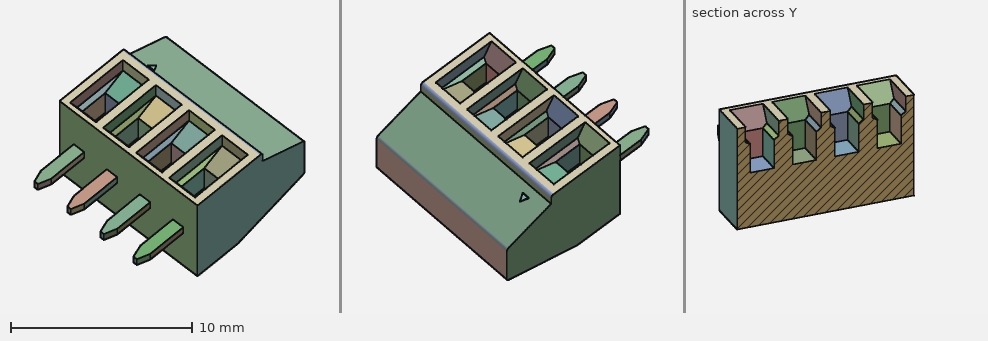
import cadquery as cq
import math

pole_count = 4
pitch = 2.54
body_width = 10.61
body_depth = 8.5
body_height = 6.27
back_round = 0.2

rim_depth = 5.18
rim_step = 0.71
roof_angle = 20.0

base_depth = 3.2
underside_angle = 15.7

mouth_width = 1.98
mouth_depth = 4.19
mouth_front_y = 0.32
shoulder_drop = 0.93
throat_drop = 1.13
throat_width = 1.4
throat_front_y = 1.0
throat_back_y = 2.8

pin_length = 3.4
pin_width = 0.8
pin_thickness = 0.52
pin_tip_width = 0.27
pin_taper_length = 0.8
pin_z = body_height / 2

mark_width = 0.5
mark_length = 0.45
mark_front_y = 5.7
mark_engraving = 0.05

pole_positions = [(i - (pole_count - 1) / 2) * pitch for i in range(pole_count)]
roof_slope = math.tan(math.radians(roof_angle))
roof_foot_z = body_height - rim_step


def roof_z(y):
    """Height of the sloped roof at a given Y."""
    return roof_foot_z - (y - rim_depth) * roof_slope


def make_body():
    """Side profile extruded along X, with its back corners rounded."""
    back_bottom_z = (body_depth - base_depth) * math.tan(math.radians(underside_angle))
    back_top_z = roof_z(body_depth)
    profile = [
        (0, 0),
        (base_depth, 0),
        (body_depth, back_bottom_z),
        (body_depth, back_top_z),
        (rim_depth, roof_foot_z),
        (rim_depth, body_height),
        (0, body_height),
    ]
    rounded_corners = [
        (body_depth, back_bottom_z),
        (body_depth, back_top_z),
        (rim_depth, body_height),
    ]
    body = cq.Workplane("YZ").polyline(profile).close().extrude(body_width / 2, both=True)
    for y, z in rounded_corners:
        corner_edge = cq.selectors.NearestToPointSelector((0, y, z))
        body = body.edges(corner_edge).fillet(back_round)
    return body


def y_z_prism(points, width):
    """Prism of a YZ outline, centred on X = 0."""
    return cq.Workplane("YZ").polyline(points).close().extrude(width / 2, both=True)


def make_funnel():
    """Wire funnel at X = 0: upright mouth, tapered floor and a throat down to the pin."""
    shoulder_z = body_height - shoulder_drop
    throat_z = body_height - throat_drop
    throat_bottom_z = pin_z + pin_thickness / 2
    mouth_back_y = mouth_front_y + mouth_depth
    front_slope = (throat_front_y - mouth_front_y) / throat_drop
    shoulder_front_y = mouth_front_y + shoulder_drop * front_slope

    mouth = y_z_prism(
        [
            (mouth_front_y, body_height),
            (mouth_back_y, body_height),
            (mouth_back_y, shoulder_z),
            (shoulder_front_y, shoulder_z),
        ],
        mouth_width,
    )
    upper_depth = mouth_back_y - shoulder_front_y
    throat_depth = throat_back_y - throat_front_y
    upper_centre_y = (mouth_back_y + shoulder_front_y) / 2
    throat_centre_y = (throat_back_y + throat_front_y) / 2
    taper = (
        cq.Workplane("XY", origin=(0, 0, shoulder_z))
        .center(0, upper_centre_y)
        .rect(mouth_width, upper_depth)
        .workplane(offset=throat_z - shoulder_z)
        .center(0, throat_centre_y - upper_centre_y)
        .rect(throat_width, throat_depth)
        .loft(ruled=True)
    )
    throat = y_z_prism(
        [
            (throat_front_y, throat_z),
            (throat_back_y, throat_z),
            (throat_back_y, throat_bottom_z),
            (throat_front_y, throat_bottom_z),
        ],
        throat_width,
    )
    return mouth.union(taper).union(throat)


def make_pin():
    """Flat pin at X = 0, pointing to -Y, with a tapered tip."""
    half_width = pin_width / 2
    half_tip = pin_tip_width / 2
    taper_y = pin_taper_length - pin_length
    outline = [
        (-half_width, 0),
        (-half_width, taper_y),
        (-half_tip, -pin_length),
        (half_tip, -pin_length),
        (half_width, taper_y),
        (half_width, 0),
    ]
    bottom = cq.Workplane("XY", origin=(0, 0, pin_z - pin_thickness / 2))
    return bottom.polyline(outline).close().extrude(pin_thickness)


def make_mark():
    """Triangle above pole 1; its floor lies parallel to the roof."""
    tip_y = mark_front_y + mark_length
    triangle = [
        (-mark_width / 2, mark_front_y),
        (mark_width / 2, mark_front_y),
        (0, tip_y),
    ]
    column = cq.Workplane("XY").polyline(triangle).close().extrude(body_height)
    layer = y_z_prism(
        [
            (mark_front_y, roof_z(mark_front_y) - mark_engraving),
            (tip_y, roof_z(tip_y) - mark_engraving),
            (tip_y, body_height),
            (mark_front_y, body_height),
        ],
        mark_width,
    )
    return column.intersect(layer).translate((pole_positions[0], 0, 0))


result = make_body()
for pole_x in pole_positions:
    result = result.cut(make_funnel().translate((pole_x, 0, 0)))
    result = result.union(make_pin().translate((pole_x, 0, 0)))
result = result.cut(make_mark())